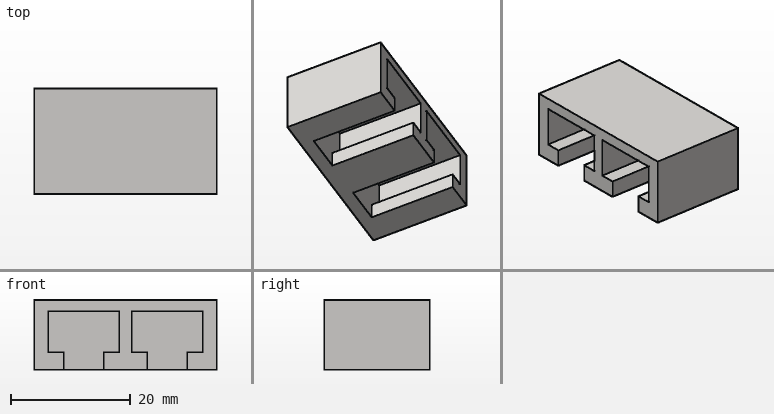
import cadquery as cq

LENGTH = 30.6
DEPTH = 17.7
HEIGHT = 11.75

SIDE_WALL = 2.35
REAR_WALL = SIDE_WALL
CENTRE_WALL = 2.06
ROOF = 1.95

LIP_HEIGHT = 2.97
LIP_WIDTH = 2.65

POCKET_COUNT = 2
POCKET_WIDTH = (LENGTH - 2 * SIDE_WALL - CENTRE_WALL) / POCKET_COUNT
POCKET_HEIGHT = HEIGHT - ROOF - LIP_HEIGHT
POCKET_DEPTH = DEPTH - REAR_WALL
POCKET_PITCH = POCKET_WIDTH + CENTRE_WALL
OPENING_WIDTH = POCKET_WIDTH - 2 * LIP_WIDTH


def front_box(width, depth, height, centre_x, bottom_z):
    """Box starting at the front plane (Y = 0) and running back along +Y."""
    box = cq.Workplane("XY").box(width, depth, height, centered=(True, False, False))
    return box.translate((centre_x, 0, bottom_z))


def tee_pocket(centre_x):
    """T-shaped void, open at the front and through the underside."""
    chamber = front_box(POCKET_WIDTH, POCKET_DEPTH, POCKET_HEIGHT, centre_x, LIP_HEIGHT)
    opening = front_box(OPENING_WIDTH, POCKET_DEPTH, LIP_HEIGHT, centre_x, 0)
    return chamber.union(opening)


result = front_box(LENGTH, DEPTH, HEIGHT, 0, 0)

for index in range(POCKET_COUNT):
    offset = index - (POCKET_COUNT - 1) / 2
    result = result.cut(tee_pocket(offset * POCKET_PITCH))